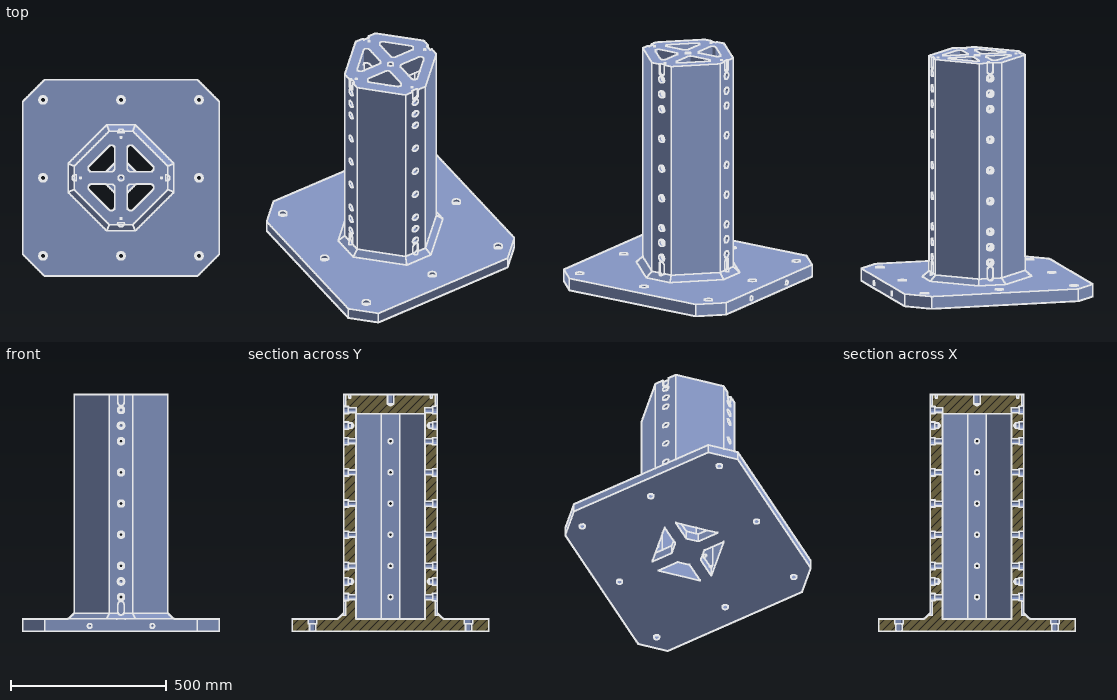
import cadquery as cq
import math

total_height = 760.0

base_width = 630.0
base_thickness = 40.0
base_corner = 70.0

column_width = 300.0
column_corner = 112.5
skirt = 20.0
skirt_height = 18.0

top_thickness = 62.0
window_reach = 140.0
rib_width = 40.0
window_fillet = 11.0
cavity_width = 220.5
hub_reach = 68.5

bolt_span = 500.0
bolt_diameter = 18.0
bolt_mouth_diameter = 26.0

edge_hole_span = 201.0
edge_hole_diameter = 14.5
edge_hole_depth = 30.5
edge_hole_height = 17.5

lowest_hole = 110.0
highest_hole = 710.0
hole_step_count = 12
hole_step = (highest_hole - lowest_hole) / hole_step_count
wall_steps = (0, 2, 4, 6, 8, 10, 12)
blind_steps = (1, 11)
wall_hole_diameter = 14.5
wall_mouth_diameter = 22.0
blind_diameter = 16.0
blind_mouth_diameter = 23.0
blind_depth = 26.5
mouth_depth = 15.0

slot_width = 20.0
slot_depth = 6.0
slot_gap = 14.0
low_slot_length = 44.0

lift_hole_diameter = 18.0
lift_hole_depth = 30.5
pin_hole_diameter = 5.0
pin_hole_depth = 11.5
pin_hole_radius = 130.0

DRILL_TIP_ANGLE = 118.0
FACE_ANGLES = (0, 90, 180, 270)


def octagon(width, corner):
    """Outline of a square whose corners are cut at 45 degrees."""
    half = width / 2
    flat = half - corner
    return [
        (flat, -half), (half, -flat), (half, flat), (flat, half),
        (-flat, half), (-half, flat), (-half, -flat), (-flat, -half),
    ]


def prism(points, bottom, height):
    return cq.Workplane("XY").workplane(offset=bottom).polyline(points).close().extrude(height)


def around(tool):
    """Copies of a tool turned about the column axis, joined into one."""
    copies = cq.Workplane("XY")
    for angle in FACE_ANGLES:
        copies = copies.add(tool.rotate((0, 0, 0), (0, 0, 1), angle))
    return copies.combine()


def drilled_hole(diameter, depth):
    """Blind hole going down from the origin, with a conical drill tip."""
    radius = diameter / 2
    tip = radius / math.tan(math.radians(DRILL_TIP_ANGLE / 2))
    profile = [(0, 0), (radius, 0), (radius, -depth), (0, -depth - tip)]
    return cq.Workplane("XZ").polyline(profile).close().revolve(360, (0, 0, 0), (0, 1, 0))


def cylinder(diameter, depth):
    """Flat-bottomed hole going down from the origin."""
    return cq.Workplane("XY").circle(diameter / 2).extrude(-depth)


def on_front(tool, x, y, z):
    """Turn a downward hole so that it enters a front face toward +Y."""
    return tool.rotate((0, 0, 0), (1, 0, 0), 90).translate((x, y, z))


column_half = column_width / 2
base = prism(octagon(base_width, base_corner), 0, base_thickness)
column = prism(octagon(column_width, column_corner), 0, total_height)

skirt_width = column_width + 2 * skirt
skirt_corner = column_corner + skirt * (2 - math.sqrt(2))
foot = (
    cq.Workplane("XY").workplane(offset=base_thickness)
    .polyline(octagon(skirt_width, skirt_corner)).close()
    .workplane(offset=skirt_height)
    .polyline(octagon(column_width, column_corner)).close()
    .loft(ruled=True)
)
body = base.union(foot).union(column)

rib_half = rib_width / 2
cavity_corner = cavity_width - window_reach
cavity_top = total_height - top_thickness
cavity = prism(octagon(cavity_width, cavity_corner), base_thickness, cavity_top - base_thickness)

window_tip = window_reach - rib_half
window = prism(
    [(rib_half, rib_half), (window_tip, rib_half), (rib_half, window_tip)], cavity_top, top_thickness
).edges("|Z").fillet(window_fillet)

opening = prism(
    [
        (hub_reach - rib_half, rib_half), (window_tip, rib_half),
        (rib_half, window_tip), (rib_half, hub_reach - rib_half),
    ],
    0, base_thickness,
)
body = body.cut(cavity).cut(around(window)).cut(around(opening))

bolt = cylinder(bolt_diameter, base_thickness).union(cylinder(bolt_mouth_diameter, mouth_depth))
for column_index in (-1, 0, 1):
    for row_index in (-1, 0, 1):
        if column_index or row_index:
            place = (column_index * bolt_span / 2, row_index * bolt_span / 2, base_thickness)
            body = body.cut(bolt.translate(place))

for x in (-edge_hole_span / 2, edge_hole_span / 2):
    edge_hole = drilled_hole(edge_hole_diameter, edge_hole_depth)
    body = body.cut(on_front(edge_hole, x, -base_width / 2, edge_hole_height))

wall_thickness = (column_width - cavity_width) / 2
wall_hole = cylinder(wall_hole_diameter, wall_thickness).union(
    cylinder(wall_mouth_diameter, mouth_depth))
blind_hole = drilled_hole(blind_diameter, blind_depth).union(
    cylinder(blind_mouth_diameter, mouth_depth))


def key_slot(bottom, length):
    """Round-ended upright slot that also clears the flare in front of the face."""
    floor = column_half - slot_depth
    return (
        cq.Workplane("XZ", origin=(0, -floor, bottom + length / 2))
        .slot2D(length, slot_width, 90).extrude(slot_depth + skirt)
    )


face_tools = cq.Workplane("XY")
for step in wall_steps:
    face_tools = face_tools.add(on_front(wall_hole, 0, -column_half, lowest_hole + step * hole_step))
for step in blind_steps:
    face_tools = face_tools.add(on_front(blind_hole, 0, -column_half, lowest_hole + step * hole_step))

high_slot_bottom = highest_hole + slot_gap
high_slot_length = total_height - high_slot_bottom + slot_width
face_tools = face_tools.add(key_slot(high_slot_bottom, high_slot_length))
face_tools = face_tools.add(key_slot(lowest_hole - slot_gap - low_slot_length, low_slot_length))
body = body.cut(around(face_tools.combine()))

lift_hole = drilled_hole(lift_hole_diameter, lift_hole_depth).translate((0, 0, total_height))
pin_hole = cylinder(pin_hole_diameter, pin_hole_depth).translate((pin_hole_radius, 0, total_height))
result = body.cut(lift_hole).cut(around(pin_hole))